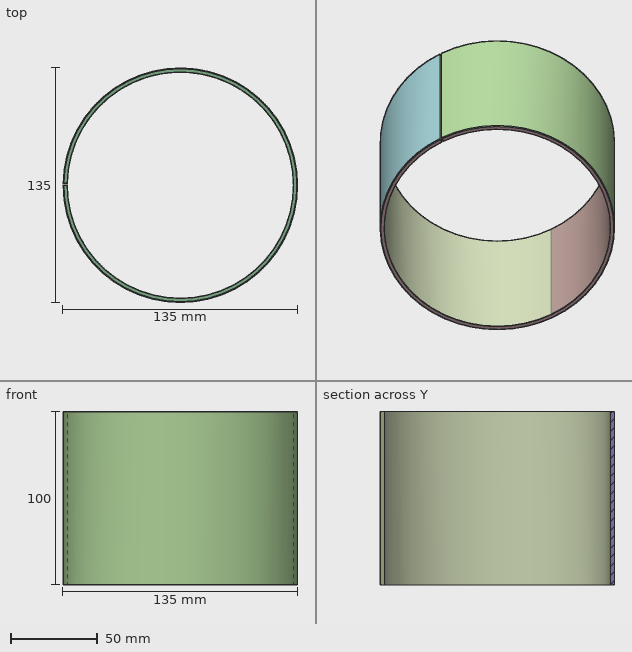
import cadquery as cq

outer_diameter = 135.0
bore_diameter = 130.0
height = 100.0
slit_width = 1.1
outer_chamfer = 0.5
inner_chamfer = 0.2

outer_radius = outer_diameter / 2
bore_radius = bore_diameter / 2


def make_tube():
    """Thin tube with a larger chamfer on the outer rims than on the inner rims."""
    body = cq.Workplane("XY").circle(outer_radius).extrude(height)
    body = body.faces("<Z or >Z").edges().chamfer(outer_chamfer)
    bore = cq.Workplane("XY").circle(bore_radius).extrude(height)
    inner_rims = cq.selectors.RadiusNthSelector(0)
    return body.cut(bore).edges(inner_rims).chamfer(inner_chamfer)


def make_slit():
    """Full-height cutter through the -X wall, with one side on the tube's XZ plane."""
    cutter = cq.Workplane("XY").box(outer_radius, slit_width, height, centered=False)
    return cutter.translate((-outer_radius, 0, 0))


result = make_tube().cut(make_slit())